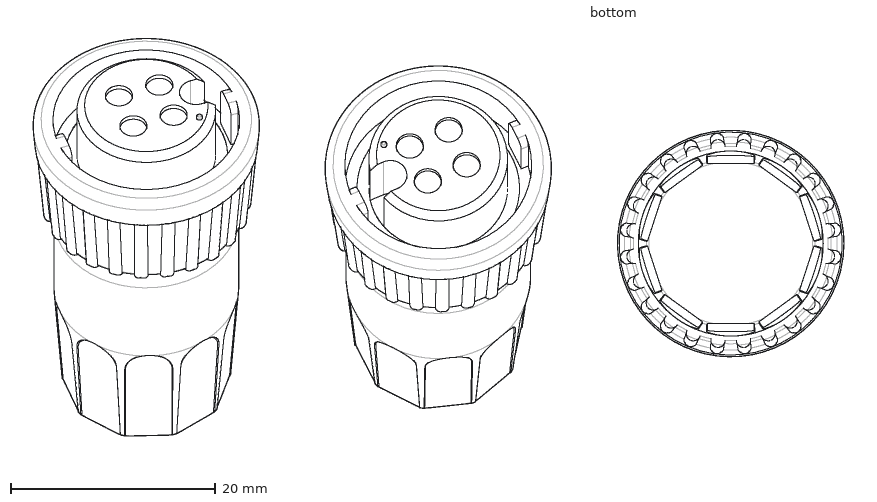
import cadquery as cq
import math

GRIP_TOP_Z = 13.15
BODY_TOP_Z = 24.2
RING_BOTTOM_Z = 25.8
LIP_BOTTOM_Z = 34.5
RING_TOP_Z = 37.8
CORE_TOP_Z = 39.9
DOT_TOP_Z = 40.2

BODY_RADIUS = 9.07
BODY_EDGE_FILLET = 1.0
NECK_RADIUS = 7.84
GRIP_BOTTOM_RADIUS = 8.26
GRIP_BOTTOM_FILLET = 0.25
FACET_COUNT = 10
FACET_WIDTH = 4.55
FACET_APOTHEM = 7.83
FACET_SLOPE = 0.0625
FACET_TOP_Z = 12.9
FACET_WALL_TAPER = 40.0
FACET_CUT_DEPTH = 2.0
FACET_OVERRUN = 3.0

RING_MAX_RADIUS = 11.11
RING_EDGE_FILLET = 0.8
RING_SLOPE = 0.072
RING_BOTTOM_FILLET = 0.3
GROOVE_DEPTH = 0.5
BORE_RADIUS = 9.15
BORE_DEPTH = 5.2
RIB_COUNT = 24
RIB_RADIUS = 0.7
RIB_RECESS = 0.05
SEAL_OUTER_RADIUS = 7.97

KEY_WIDTH = 3.0
KEY_EDGE_FILLET = 0.85
KEY_INNER_Y = 8.27
KEY_ROOT = 0.1

CORE_RADIUS = 6.8
CORE_CHAMFER = 0.75
CONTACT_RADIUS = 1.33
CONTACT_PITCH = 4.2
CONTACT_DEPTH = 0.5
KEYWAY_RADIUS = 1.6
KEYWAY_CENTER_Y = 5.15
DOT_RADIUS = 0.3
DOT_FILLET = 0.15
DOT_X = 3.28
DOT_Y = 4.36

BORE_FLOOR_Z = RING_TOP_Z - BORE_DEPTH
SEAL_RADIUS = (SEAL_OUTER_RADIUS - CORE_RADIUS) / 2
RING_SHOULDER_Z = RING_TOP_Z - RING_EDGE_FILLET


def ring_radius(z):
    """Radius of the tapered outside of the coupling ring at height z."""
    return RING_MAX_RADIUS - RING_SLOPE * (RING_SHOULDER_Z - z)


def revolve(profile):
    """Close a half profile and turn it around the Z axis."""
    return profile.close().revolve(360, (0, 0, 0), (0, 1, 0))


def make_body():
    profile = (
        cq.Workplane("XZ")
        .lineTo(GRIP_BOTTOM_RADIUS, 0)
        .lineTo(BODY_RADIUS, GRIP_TOP_Z)
        .lineTo(BODY_RADIUS, BODY_TOP_Z)
        .lineTo(0, BODY_TOP_Z)
    )
    body = revolve(profile)
    body = body.faces(">Z").edges().fillet(BODY_EDGE_FILLET)
    body = body.faces("<Z").edges().fillet(GRIP_BOTTOM_FILLET)
    return body


def make_facet_cutter():
    """Round-topped pocket lying on a plane that leans outward with height."""
    length = math.hypot(1, FACET_SLOPE)
    plane = cq.Plane(
        origin=(0, -FACET_APOTHEM, 0),
        xDir=(1, 0, 0),
        normal=(0, -1 / length, -FACET_SLOPE / length),
    )
    half = FACET_WIDTH / 2
    top = FACET_TOP_Z * length
    return (
        cq.Workplane(plane)
        .moveTo(-half, -FACET_OVERRUN)
        .lineTo(half, -FACET_OVERRUN)
        .lineTo(half, top - half)
        .threePointArc((0, top), (-half, top - half))
        .close()
        .extrude(FACET_CUT_DEPTH, taper=-FACET_WALL_TAPER)
    )


def cut_facets(body):
    cutter = make_facet_cutter()
    for i in range(FACET_COUNT):
        body = body.cut(cutter.rotate((0, 0, 0), (0, 0, 1), i * 360 / FACET_COUNT))
    return body


def make_ring_blank():
    """Coupling ring without ribs: a lip that drops to the groove floor in a concave quarter round."""
    lip_radius = ring_radius(LIP_BOTTOM_Z)
    profile = (
        cq.Workplane("XZ")
        .moveTo(0, RING_BOTTOM_Z)
        .lineTo(ring_radius(RING_BOTTOM_Z) - GROOVE_DEPTH, RING_BOTTOM_Z)
        .lineTo(lip_radius - GROOVE_DEPTH, LIP_BOTTOM_Z - GROOVE_DEPTH)
        .radiusArc((lip_radius, LIP_BOTTOM_Z), GROOVE_DEPTH)
        .lineTo(RING_MAX_RADIUS, RING_SHOULDER_Z)
        .lineTo(RING_MAX_RADIUS, RING_TOP_Z)
        .lineTo(0, RING_TOP_Z)
    )
    ring = revolve(profile)
    ring = ring.faces(">Z").edges().fillet(RING_EDGE_FILLET)
    return ring.faces("<Z").edges().fillet(RING_BOTTOM_FILLET)


def make_rib_envelope():
    """Solid of revolution that limits the ribs and rounds their lower ends."""
    profile = (
        cq.Workplane("XZ")
        .moveTo(0, RING_BOTTOM_Z)
        .lineTo(ring_radius(RING_BOTTOM_Z) - RIB_RECESS, RING_BOTTOM_Z)
        .lineTo(ring_radius(LIP_BOTTOM_Z), LIP_BOTTOM_Z)
        .lineTo(0, LIP_BOTTOM_Z)
    )
    return revolve(profile).faces("<Z").edges().fillet(RING_BOTTOM_FILLET)


def make_rib():
    """Round rib on the +X side, leaning with the taper of the ring."""
    start_z = RING_BOTTOM_Z - RIB_RADIUS
    start_x = ring_radius(start_z) - RIB_RECESS - RIB_RADIUS
    plane = cq.Plane(
        origin=(start_x, 0, start_z),
        xDir=(-1, 0, RING_SLOPE),
        normal=(RING_SLOPE, 0, 1),
    )
    rib = cq.Workplane(plane).circle(RIB_RADIUS).extrude(LIP_BOTTOM_Z - start_z)
    return rib.intersect(make_rib_envelope())


def make_ring():
    ring = make_ring_blank()
    rib = make_rib()
    pitch = 360 / RIB_COUNT
    for i in range(RIB_COUNT):
        ring = ring.union(rib.rotate((0, 0, 0), (0, 0, 1), (i + 0.5) * pitch))
    bore = cq.Workplane("XY").workplane(offset=BORE_FLOOR_Z).circle(BORE_RADIUS).extrude(BORE_DEPTH)
    return ring.cut(bore)


def make_keys():
    """Two opposite keys from the bore floor up to the top of the ring."""
    reach = BORE_RADIUS + KEY_ROOT - KEY_INNER_Y
    key = (
        cq.Workplane("XY")
        .box(KEY_WIDTH, reach, BORE_DEPTH, centered=(True, False, False))
        .edges("|Y and >Z")
        .fillet(KEY_EDGE_FILLET)
        .translate((0, KEY_INNER_Y, BORE_FLOOR_Z))
    )
    return key.union(key.mirror("XZ"))


def make_dot():
    """Raised index mark on the end face of the contact core."""
    return (
        cq.Workplane("XY")
        .workplane(offset=CORE_TOP_Z)
        .center(DOT_X, DOT_Y)
        .circle(DOT_RADIUS)
        .extrude(DOT_TOP_Z - CORE_TOP_Z)
        .faces(">Z")
        .edges()
        .fillet(DOT_FILLET)
    )


def make_core():
    core = (
        cq.Workplane("XY")
        .workplane(offset=BODY_TOP_Z)
        .circle(CORE_RADIUS)
        .extrude(CORE_TOP_Z - BODY_TOP_Z)
        .faces(">Z")
        .chamfer(CORE_CHAMFER)
    )
    contacts = (
        cq.Workplane("XY")
        .workplane(offset=CORE_TOP_Z - CONTACT_DEPTH)
        .rect(CONTACT_PITCH, CONTACT_PITCH, forConstruction=True)
        .vertices()
        .circle(CONTACT_RADIUS)
        .extrude(CONTACT_DEPTH)
    )
    keyway = (
        cq.Workplane("XY")
        .workplane(offset=BORE_FLOOR_Z)
        .moveTo(-KEYWAY_RADIUS, CORE_RADIUS)
        .lineTo(-KEYWAY_RADIUS, KEYWAY_CENTER_Y)
        .threePointArc((0, KEYWAY_CENTER_Y - KEYWAY_RADIUS), (KEYWAY_RADIUS, KEYWAY_CENTER_Y))
        .lineTo(KEYWAY_RADIUS, CORE_RADIUS)
        .close()
        .extrude(CORE_TOP_Z - BORE_FLOOR_Z)
    )
    return core.cut(contacts).cut(keyway).union(make_dot())


def make_neck():
    return (
        cq.Workplane("XY")
        .workplane(offset=BODY_TOP_Z)
        .circle(NECK_RADIUS)
        .extrude(RING_BOTTOM_Z - BODY_TOP_Z)
    )


def make_seal():
    """Sealing ring around the core, half sunk into the bore floor."""
    return (
        cq.Workplane("XZ")
        .moveTo(CORE_RADIUS + SEAL_RADIUS, BORE_FLOOR_Z)
        .circle(SEAL_RADIUS)
        .revolve(360, (0, 0, 0), (0, 1, 0))
    )


result = cut_facets(make_body())
result = result.union(make_neck())
result = result.union(make_ring().union(make_keys()))
result = result.union(make_core())
result = result.union(make_seal()).solids()